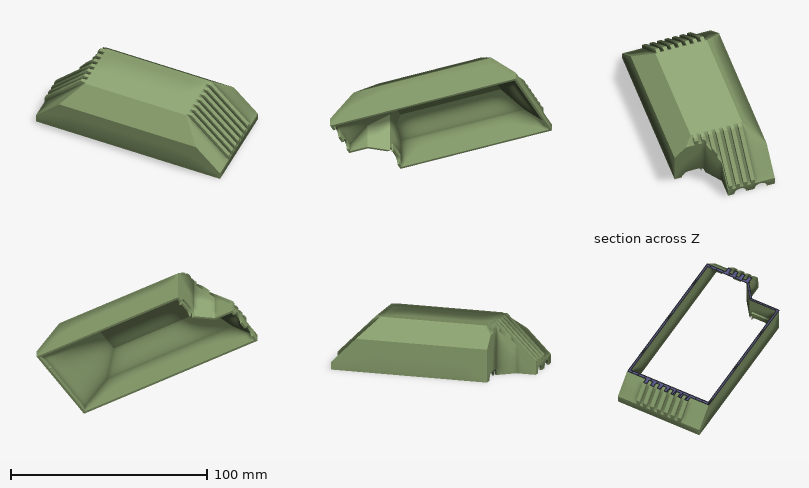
import cadquery as cq
import math

LENGTH = 102.5
WIDTH = 47.5
HEIGHT = 27.3
LEFT = -LENGTH / 2
RIGHT = LENGTH / 2
BACK = WIDTH / 2

ROOF_CENTER_X = -0.3
ROOF_HALF_LENGTH = 28.2
SIDE_CHAMFER = 9.9
WALL = 1.2

RIB_COUNT = 7
RIB_WIDTH = 2.0
RIB_PITCH = 4.0
RIB_REACH = 2.8

NOTCH_X = -32.4
NOTCH_Y = 1.3
NOTCH_BEVEL_X = 8.6
NOTCH_BEVEL_Y = 6.5

CABLE_RADIUS = 3.3
CABLE_CENTERS_Y = (-5.2, -16.2)

PORT_CENTER_Y = 13.6
PORT_HALF_FLAT = 2.5
PORT_HEIGHT = 3.7
PAD_WIDTH = 9.6
PAD_THICKNESS = 1.0
PAD_HEIGHT = 5.1
PAD_PORT_HEIGHT = 2.2

STUD_Y = 12.2
STUD_Z = 1.5
STUD_RADIUS = 0.7


def sloped_bar(roof_half_length, left, right, roof_z, width):
    """Bar spanning Y whose left and right ends slope down at 45 degrees to upright faces."""
    roof_left = ROOF_CENTER_X - roof_half_length
    roof_right = ROOF_CENTER_X + roof_half_length
    outline = [
        (left, 0),
        (right, 0),
        (right, roof_z - (right - roof_right)),
        (roof_right, roof_z),
        (roof_left, roof_z),
        (left, roof_z - (roof_left - left)),
    ]
    return cq.Workplane("XZ").polyline(outline).close().extrude(width / 2, both=True)


def housing(inset):
    """Sloped housing block with every outer face except the floor moved inward."""
    slope_shift = inset * (math.sqrt(2) - 1)
    side = WIDTH / 2 - inset
    roof_z = HEIGHT - inset
    chamfer = SIDE_CHAMFER - inset + slope_shift
    cross_section = [
        (-side, 0),
        (side, 0),
        (side, roof_z - chamfer),
        (side - chamfer, roof_z),
        (chamfer - side, roof_z),
        (-side, roof_z - chamfer),
    ]
    bar = cq.Workplane("YZ").polyline(cross_section).close().extrude(LENGTH / 2, both=True)
    ends = sloped_bar(ROOF_HALF_LENGTH - slope_shift, LEFT + inset, RIGHT - inset, roof_z, WIDTH)
    return bar.intersect(ends)


def ribs():
    rib = sloped_bar(ROOF_HALF_LENGTH + RIB_REACH, LEFT, RIGHT, HEIGHT, RIB_WIDTH)
    first_y = -RIB_PITCH * (RIB_COUNT - 1) / 2
    row = rib.translate((0, first_y, 0))
    for index in range(1, RIB_COUNT):
        row = row.union(rib.translate((0, first_y + index * RIB_PITCH, 0)))
    return row


def notch(clearance):
    """Corner cut-out, grown on all sides by the clearance."""
    outline = [
        (LEFT, BACK),
        (LEFT, NOTCH_Y),
        (NOTCH_X - NOTCH_BEVEL_X, NOTCH_Y),
        (NOTCH_X, NOTCH_Y + NOTCH_BEVEL_Y),
        (NOTCH_X, BACK),
    ]
    plan = cq.Workplane("XY").polyline(outline).close()
    if clearance > 0:
        plan = plan.offset2D(clearance, "intersection")
    return plan.extrude(HEIGHT)


def arch(start_x, depth, center_y, half_flat, height):
    """Floor-level opening along +X: a half round, or a flat top between two quarter rounds."""
    slot_length = 2 * (half_flat + height)
    plane = cq.Workplane("YZ", origin=(start_x, center_y, 0))
    if half_flat > 0:
        return plane.slot2D(slot_length, 2 * height).extrude(depth)
    return plane.circle(height).extrude(depth)


def pad():
    block = cq.Workplane("XY").box(PAD_THICKNESS, PAD_WIDTH, PAD_HEIGHT, centered=(False, True, False))
    return block.translate((NOTCH_X + WALL, PORT_CENTER_Y, 0))


def stud():
    return cq.Workplane("XY").sphere(STUD_RADIUS).translate((RIGHT - WALL, STUD_Y, STUD_Z))


shell = housing(0).union(ribs()).cut(notch(0))
cavity = housing(WALL).cut(notch(WALL))
result = shell.cut(cavity).union(pad()).union(stud())

for cable_y in CABLE_CENTERS_Y:
    result = result.cut(arch(LEFT, WALL, cable_y, 0, CABLE_RADIUS))
result = result.cut(arch(NOTCH_X - WALL, 2 * WALL, PORT_CENTER_Y, PORT_HALF_FLAT, PORT_HEIGHT))
result = result.cut(arch(NOTCH_X + WALL, PAD_THICKNESS, PORT_CENTER_Y, PORT_HALF_FLAT, PAD_PORT_HEIGHT))